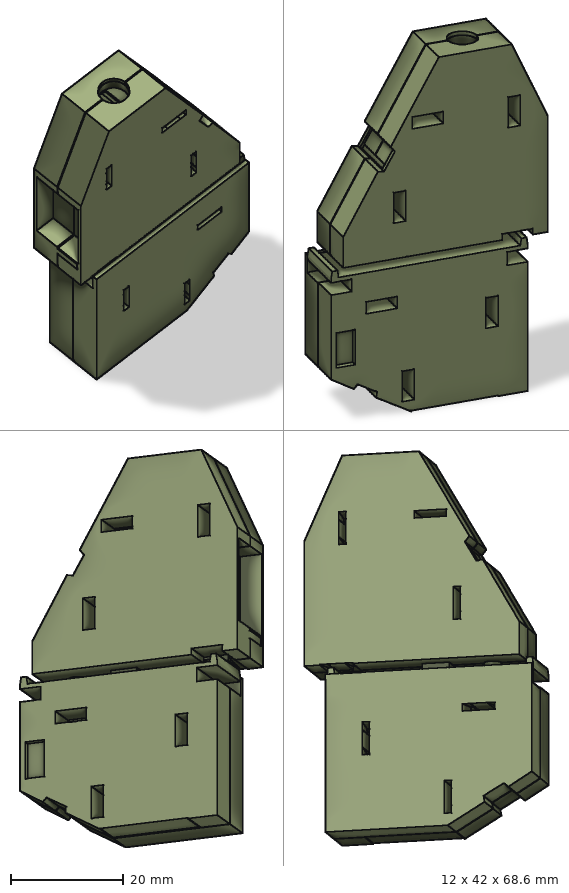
import cadquery as cq
import math

WIDTH = 12.0
DEPTH = 42.0
HEIGHT = 68.6
HALF_WIDTH = WIDTH / 2
SEAM_GAP = 0.2
CLEARANCE = 0.2

UPPER_BASE = 30.5
UPPER_BACK = 39.65
CROWN_FRONT = 7.0
CROWN_BACK = 21.1
UPPER_FRONT_TOP = 53.3
UPPER_BACK_TOP = 36.55
NOTCH_FLOOR_TOP = (29.65, 51.6)
NOTCH_FLOOR_BOTTOM = (31.75, 48.0)
UPPER_NOTCH = [(30.45, 52.6), NOTCH_FLOOR_TOP, NOTCH_FLOOR_BOTTOM, (32.9, 48.2)]
LABEL_LENGTH = math.dist(NOTCH_FLOOR_TOP, NOTCH_FLOOR_BOTTOM)
LABEL_HALF_WIDTH = 5.1
LABEL_DEPTH = 0.4
LABEL_GROOVE_DEPTH = 0.15
LABEL_TONGUE_WIDTH = 0.9
LABEL_TONGUE_THICKNESS = 0.95

POCKET_HALF_WIDTH = 5.3
POCKET_DEPTH = 4.1
POCKET_FLOOR = 36.1
POCKET_TOP = 51.45
TONGUE_REACH = 4.9
UPPER_TONGUE_BOTTOM = 34.2
UPPER_TONGUE_TOP = 35.7

SCREW_Y = (CROWN_FRONT + CROWN_BACK) / 2
CROWN_HOLE_RADIUS = 2.8
COLLAR_BORE_RADIUS = 2.75
SCREW_DEPTH = 2.6
COLLAR_DEPTH = 0.75
COLLAR_RADIUS = 3.3
COLLAR_LENGTH = 3.4
DRIVER_SLOT_WIDTH = 1.0
DRIVER_SLOT_DEPTH = 0.55

DECK = 28.8
LOWER_FRONT = 3.9
LOWER_BACK_BOTTOM = 9.0
UNDERSIDE_BACK = 26.5
LOWER_NOTCH = [(33.3, 3.9), (33.05, 5.0), (36.85, 7.15), (37.6, 6.4)]
RAIL_WIDTH = 1.45
RAIL_TOP_WIDTH = 1.0
RAIL_HEIGHT = 1.4
LOWER_TONGUE_BOTTOM = 25.6
GROOVE_TOP = 28.0
GROOVE_DEPTH = 4.0
FRONT_GROOVE_FLOOR = LOWER_TONGUE_BOTTOM - CLEARANCE
BACK_GROOVE_FLOOR = LOWER_TONGUE_BOTTOM
SIDE_RECESS_DEPTH = 1.2
SIDE_RECESS_Y = (37.3, 40.95)
SIDE_RECESS_Z = (11.1, 18.0)
RELIEF_FRONT = 9.6
RELIEF_HEIGHT = 0.15

PIN_Y = 33.3
PIN_RADIUS = 1.6
KEY_Y = (20.85, 25.85)
KEY_WIDTH = 5.1

WINDOW_LENGTH = 6.0
WINDOW_WIDTH = 2.3
LEDGE_WIDTH = 1.0
LEDGE_ROOT = 0.4
CATCH_LENGTH = 3.15
UP, FORWARD, DOWN, BACKWARD = 0, 90, 180, 270
UPPER_LATCHES = [
    (23.25, 55.4, UP),
    (5.35, 55.35, BACKWARD),
    (29.85, 40.55, FORWARD),
    (5.9, 31.7, DOWN),
]
LOWER_LATCHES = [
    (32.2, 23.05, DOWN),
    (9.7, 16.75, BACKWARD),
    (28.2, 5.2, FORWARD),
]

LEFT = (-HALF_WIDTH, -SEAM_GAP / 2)
RIGHT = (SEAM_GAP / 2, HALF_WIDTH)
UPPER_OUTLINE = [
    (0, UPPER_BASE),
    (0, UPPER_FRONT_TOP),
    (CROWN_FRONT, HEIGHT),
    (CROWN_BACK, HEIGHT),
    *UPPER_NOTCH,
    (UPPER_BACK, UPPER_BACK_TOP),
    (UPPER_BACK, UPPER_BASE),
]
LOWER_OUTLINE = [
    (LOWER_FRONT, 0),
    (UNDERSIDE_BACK, 0),
    *LOWER_NOTCH,
    (DEPTH, LOWER_BACK_BOTTOM),
    (DEPTH, DECK),
    (LOWER_FRONT, DECK),
]


def block(x_range, y_range, z_range):
    """Box given by its limits along each axis."""
    size = [end - start for start, end in (x_range, y_range, z_range)]
    return cq.Workplane("XY").box(*size, centered=False).translate((x_range[0], y_range[0], z_range[0]))


def profile(points, x_range):
    """Closed (Y, Z) outline extruded over a range of X."""
    start, end = x_range
    return cq.Workplane("YZ", origin=(start, 0, 0)).polyline(points).close().extrude(end - start)


def vertical_cylinder(y, z, radius, height):
    """Upright cylinder on the middle plane X = 0, starting at height z."""
    return cq.Workplane("XY", origin=(0, y, z)).circle(radius).extrude(height)


def slope_block(x_range, along, below):
    """Block set square to the notch floor: distances up the slope and below the floor."""
    up_slope = cq.Plane(
        origin=(x_range[0], *NOTCH_FLOOR_BOTTOM),
        xDir=(0, NOTCH_FLOOR_TOP[0] - NOTCH_FLOOR_BOTTOM[0], NOTCH_FLOOR_TOP[1] - NOTCH_FLOOR_BOTTOM[1]),
        normal=(1, 0, 0),
    )
    corners = [(along[0], below[0]), (along[1], below[0]), (along[1], below[1]), (along[0], below[1])]
    return cq.Workplane(up_slope).polyline(corners).close().extrude(x_range[1] - x_range[0])


def latch_plane(latch, x):
    """Plane on the ledge wall: local x along the window, local y towards the opening."""
    y, z, angle = latch
    turn = math.radians(angle)
    return cq.Plane(origin=(x, y, z), xDir=(0, math.cos(turn), math.sin(turn)), normal=(1, 0, 0))


def windows(latches):
    """Latch windows running through the whole thickness."""
    cutters = cq.Workplane("XY")
    for latch in latches:
        cutters = cutters.add(
            cq.Workplane(latch_plane(latch, -HALF_WIDTH))
            .center(0, WINDOW_WIDTH / 2)
            .rect(WINDOW_LENGTH, WINDOW_WIDTH)
            .extrude(WIDTH)
        )
    return cutters.combine()


def ledge(latch):
    """Latch ledge of a right half: a central catch between two ramped shoulders."""
    start = SEAM_GAP / 2
    plane = latch_plane(latch, start)
    run = HALF_WIDTH - start
    catch = cq.Workplane(plane).center(0, LEDGE_WIDTH / 2).rect(CATCH_LENGTH, LEDGE_WIDTH).extrude(run)
    side = cq.Plane(
        origin=plane.toWorldCoords((-WINDOW_LENGTH / 2, 0, 0)).toTuple(),
        xDir=(1, 0, 0),
        normal=(-plane.xDir).toTuple(),
    )
    shoulder = (
        cq.Workplane(side)
        .polyline([(0, 0), (0, LEDGE_ROOT), (run, LEDGE_WIDTH), (run, 0)])
        .close()
        .extrude(-WINDOW_LENGTH)
    )
    return catch.union(shoulder)


def front_pocket():
    """Rectangular pocket in the front face, across both upper halves."""
    return block((-POCKET_HALF_WIDTH, POCKET_HALF_WIDTH), (0, POCKET_DEPTH), (POCKET_FLOOR, POCKET_TOP))


def label_recess():
    """Recess sunk square to the notch floor, with a slightly deeper groove along its lower edge."""
    across = (-LABEL_HALF_WIDTH, LABEL_HALF_WIDTH)
    recess = slope_block(across, (0, LABEL_LENGTH), (0, LABEL_DEPTH))
    groove = slope_block(across, (0, LABEL_TONGUE_WIDTH), (0, LABEL_DEPTH + LABEL_GROOVE_DEPTH))
    return recess.union(groove)


def label_tongue():
    """Bar of the left half that crosses the seam under the groove of the label recess."""
    top = LABEL_DEPTH + LABEL_GROOVE_DEPTH
    return slope_block(
        (-LABEL_HALF_WIDTH, LABEL_HALF_WIDTH),
        (0, LABEL_TONGUE_WIDTH),
        (top, top + LABEL_TONGUE_THICKNESS),
    )


def screw_seat():
    """Round space below the crown that the screw collar fills."""
    return vertical_cylinder(SCREW_Y, HEIGHT - COLLAR_DEPTH - COLLAR_LENGTH, COLLAR_RADIUS, COLLAR_LENGTH)


def screw_collar():
    """Collar with the slotted screw face at the bottom of its bore."""
    face = HEIGHT - SCREW_DEPTH
    bore = vertical_cylinder(SCREW_Y, face, COLLAR_BORE_RADIUS, SCREW_DEPTH)
    slot = block(
        (-COLLAR_BORE_RADIUS, COLLAR_BORE_RADIUS),
        (SCREW_Y - DRIVER_SLOT_WIDTH / 2, SCREW_Y + DRIVER_SLOT_WIDTH / 2),
        (face - DRIVER_SLOT_DEPTH, face),
    )
    return screw_seat().cut(bore).cut(slot)


def upper_half(x_range):
    """Features common to both upper halves."""
    half = profile(UPPER_OUTLINE, x_range)
    half = half.cut(front_pocket()).cut(label_recess()).cut(windows(UPPER_LATCHES))
    half = half.cut(vertical_cylinder(SCREW_Y, HEIGHT - COLLAR_DEPTH, CROWN_HOLE_RADIUS, COLLAR_DEPTH))
    return half.cut(screw_seat())


def upper_left_half():
    tongue = block((LEFT[0], TONGUE_REACH), (0, POCKET_DEPTH), (UPPER_TONGUE_BOTTOM, UPPER_TONGUE_TOP))
    return upper_half(LEFT).union(tongue).union(label_tongue())


def upper_right_half():
    tongue_slot = block(
        (0, TONGUE_REACH + CLEARANCE),
        (0, POCKET_DEPTH),
        (UPPER_TONGUE_BOTTOM, UPPER_TONGUE_TOP + CLEARANCE),
    )
    half = upper_half(RIGHT).cut(tongue_slot).cut(label_tongue()).union(screw_collar())
    for latch in UPPER_LATCHES:
        half = half.union(ledge(latch))
    return half


def rail(y_start):
    """Tapered rail along X on the deck."""
    inset = (RAIL_WIDTH - RAIL_TOP_WIDTH) / 2
    y_end = y_start + RAIL_WIDTH
    top = DECK + RAIL_HEIGHT
    outline = [(y_start, DECK), (y_end, DECK), (y_end - inset, top), (y_start + inset, top)]
    return profile(outline, (LEFT[0], TONGUE_REACH))


def spacers():
    """Round pin and flat key that carry the upper housing."""
    pin = vertical_cylinder(PIN_Y, DECK, PIN_RADIUS, UPPER_BASE - DECK)
    key = block((-KEY_WIDTH / 2, KEY_WIDTH / 2), KEY_Y, (DECK, UPPER_BASE))
    return pin.union(key)


def lower_left_half():
    across = (LEFT[0], TONGUE_REACH)
    front_y = (LOWER_FRONT, LOWER_FRONT + GROOVE_DEPTH)
    back_y = (DEPTH - GROOVE_DEPTH, DEPTH)
    tongue = block(across, (LOWER_FRONT, DEPTH), (LOWER_TONGUE_BOTTOM, DECK))
    front_groove = block(across, front_y, (FRONT_GROOVE_FLOOR, GROOVE_TOP))
    back_groove = block(across, back_y, (BACK_GROOVE_FLOOR, GROOVE_TOP))
    side_recess = block((LEFT[0], LEFT[0] + SIDE_RECESS_DEPTH), SIDE_RECESS_Y, SIDE_RECESS_Z)
    relief = block(LEFT, (RELIEF_FRONT, UNDERSIDE_BACK), (0, RELIEF_HEIGHT))
    half = profile(LOWER_OUTLINE, LEFT).union(tongue).cut(front_groove).cut(back_groove)
    half = half.cut(side_recess).cut(relief).cut(windows(LOWER_LATCHES))
    return half.union(rail(LOWER_FRONT)).union(rail(DEPTH - RAIL_WIDTH)).union(spacers())


def lower_right_half():
    tongue_slot = block((0, TONGUE_REACH + CLEARANCE), (0, DEPTH), (LOWER_TONGUE_BOTTOM - CLEARANCE, DECK))
    half = profile(LOWER_OUTLINE, RIGHT).cut(tongue_slot).cut(windows(LOWER_LATCHES))
    for latch in LOWER_LATCHES:
        half = half.union(ledge(latch))
    return half


upper_left = upper_left_half()
upper_right = upper_right_half()
lower_left = lower_left_half()
lower_right = lower_right_half()

result = cq.Compound.makeCompound([
    *upper_left.solids().vals(),
    *upper_right.solids().vals(),
    *lower_left.solids().vals(),
    *lower_right.solids().vals(),
])